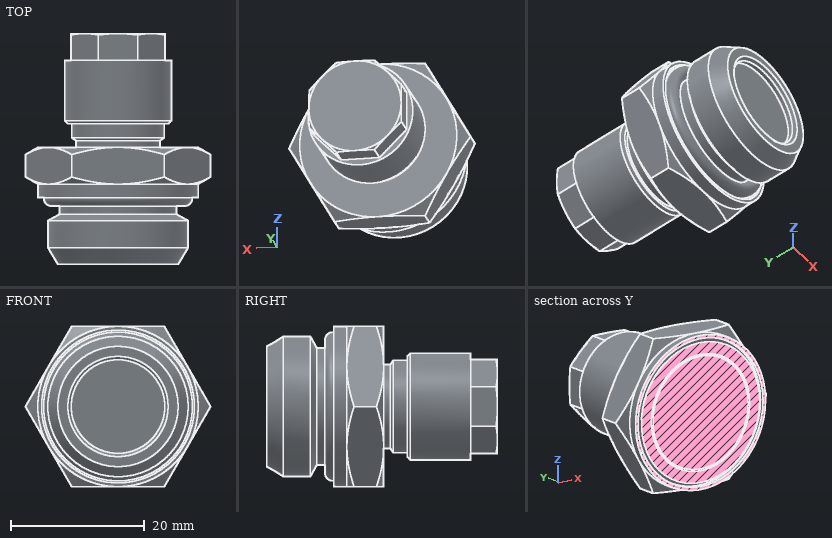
import cadquery as cq
import math


spigot_chamfer_end = 2.5
spigot_cone_start = 6.55
spigot_end = 7.5
collar_start = 10.0
hex_start = 12.0
hex_end = 17.5
neck_end = 18.5
shoulder_start = 18.9
nut_start = 21.0
nut_chamfer_end = 21.5
nut_end = 30.5
total_length = 34.5

spigot_face_radius = 9.0
spigot_radius = 10.5
groove_radius = 8.78
neck_radius = 6.3
shoulder_radius = 6.93
nut_front_radius = 7.5
nut_radius = 8.0

hex_across_flats = 24.0
collar_radius = hex_across_flats / 2
hex_chamfer_angle = 30.0

ring_outer_radius = 11.13
ring_front = 8.7
ring_overlap = 0.03
ring_section_radius = (ring_outer_radius - groove_radius + ring_overlap) / 2
ring_centre_radius = ring_outer_radius - ring_section_radius
ring_centre_y = ring_front + ring_section_radius
ring_half_contact = math.sqrt(ring_section_radius**2 - (ring_centre_radius - groove_radius) ** 2)
pocket_radius = 11.43
pocket_clearance = 0.1
pocket_end = ring_centre_y + ring_section_radius + pocket_clearance

recess_mouth_radius = 7.5
recess_radius = 7.0
recess_chamfer_depth = 0.5
recess_depth = 1.3

octagon_across_flats = 14.1
octagon_face_radius = octagon_across_flats / 2
octagon_chamfer_angle = 20.0


def revolve_profile(points):
    """Revolve a closed (radius, y) outline about the Y axis."""
    return cq.Workplane("XY").polyline(points).close().revolve(360, (0, 0, 0), (0, 1, 0))


def prism(sides, across_flats, start, end, turn):
    """Regular prism along Y; turn is the angle of its first corner from +X."""
    corner_radius = across_flats / 2 / math.cos(math.pi / sides)
    corners = []
    for i in range(sides):
        angle = math.radians(turn) + 2 * math.pi * i / sides
        corners.append((corner_radius * math.cos(angle), corner_radius * math.sin(angle)))
    face = cq.Workplane("XZ", origin=(0, start, 0)).polyline(corners).close()
    return face.extrude(start - end)


def corner_drop(sides, across_flats, chamfer_angle):
    """Axial length of a conical corner chamfer that starts at the flats' inscribed circle."""
    corner_radius = across_flats / 2 / math.cos(math.pi / sides)
    return (corner_radius - across_flats / 2) * math.tan(math.radians(chamfer_angle))


def make_body():
    """All round stretches in one turned outline, with the sealing ring as an arc on the groove."""
    outline = (
        cq.Workplane("XY")
        .lineTo(spigot_face_radius, 0)
        .lineTo(spigot_radius, spigot_chamfer_end)
        .lineTo(spigot_radius, spigot_cone_start)
        .lineTo(groove_radius, spigot_end)
        .lineTo(groove_radius, ring_centre_y - ring_half_contact)
        .threePointArc(
            (ring_outer_radius, ring_centre_y),
            (groove_radius, ring_centre_y + ring_half_contact),
        )
        .lineTo(groove_radius, pocket_end)
        .lineTo(pocket_radius, pocket_end)
        .lineTo(pocket_radius, collar_start)
        .lineTo(collar_radius, collar_start)
        .lineTo(collar_radius, hex_end)
        .lineTo(neck_radius, hex_end)
        .lineTo(neck_radius, neck_end)
        .lineTo(shoulder_radius, shoulder_start)
        .lineTo(shoulder_radius, nut_start)
        .lineTo(nut_front_radius, nut_start)
        .lineTo(nut_radius, nut_chamfer_end)
        .lineTo(nut_radius, nut_end)
        .lineTo(0, nut_end)
        .close()
    )
    return outline.revolve(360, (0, 0, 0), (0, 1, 0))


def make_hexagon():
    """Hexagon with its corners chamfered at both ends."""
    sides = 6
    flat_radius = hex_across_flats / 2
    corner_radius = flat_radius / math.cos(math.pi / sides)
    drop = corner_drop(sides, hex_across_flats, hex_chamfer_angle)
    envelope = revolve_profile([
        (0, hex_start),
        (flat_radius, hex_start),
        (corner_radius, hex_start + drop),
        (corner_radius, hex_end - drop),
        (flat_radius, hex_end),
        (0, hex_end),
    ])
    return prism(sides, hex_across_flats, hex_start, hex_end, 0).intersect(envelope)


def make_octagon():
    """Octagon with its corners chamfered at the rear end."""
    sides = 8
    corner_radius = octagon_face_radius / math.cos(math.pi / sides)
    drop = corner_drop(sides, octagon_across_flats, octagon_chamfer_angle)
    envelope = revolve_profile([
        (0, nut_end),
        (corner_radius, nut_end),
        (corner_radius, total_length - drop),
        (octagon_face_radius, total_length),
        (0, total_length),
    ])
    half_step = 180 / sides
    return prism(sides, octagon_across_flats, nut_end, total_length, half_step).intersect(envelope)


def make_recess():
    """Cutting body for the recess in the front face."""
    return revolve_profile([
        (0, 0),
        (recess_mouth_radius, 0),
        (recess_radius, recess_chamfer_depth),
        (recess_radius, recess_depth),
        (0, recess_depth),
    ])


result = make_body().union(make_hexagon()).union(make_octagon()).cut(make_recess())